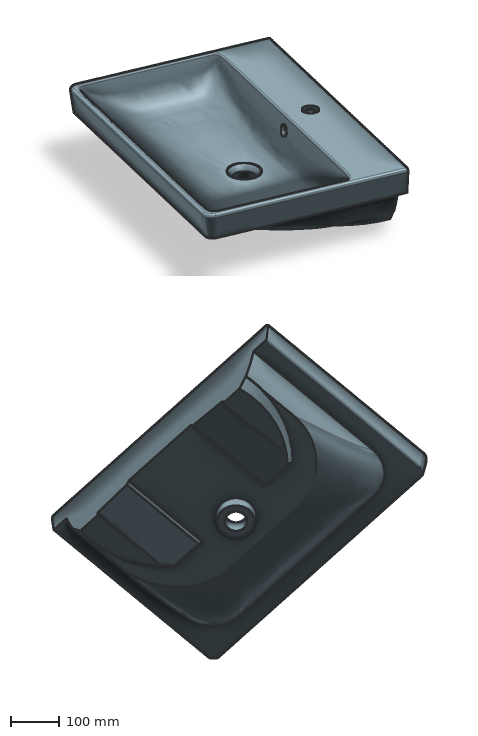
import cadquery as cq
import math


width = 650.0
depth = 470.0
rim_height = 60.0
rim_corner = 22.0
rim_edge = 8.0
rim_round = 7.0
side_draft = 5.0
front_draft = 8.0
rim_bottom_corner = 16.0
underside_round = 2.5

bowl_lip_round = 4.0
bowl_depth = 108.5
bowl_sections = [
    (0.0, 310.0, -123.5, -455.5, 30.0),
    (-32.5, 296.0, -127.0, -431.5, 14.0),
    (-60.0, 273.0, -132.5, -400.5, 7.0),
    (-82.5, 234.0, -142.0, -357.5, 4.5),
    (-100.0, 149.5, -159.0, -302.0, 2.8),
    (-bowl_depth, 35.0, -184.0, -254.0, 2.0),
]
outline_points = 144

overlap = 6.5
body_bottom = -132.0
body_sections = [
    (-rim_height + overlap, 283.0, -429.5, 78.0),
    (-82.0, 275.5, -401.0, 97.5),
    (-102.0, 270.0, -372.0, 123.5),
    (-116.0, 265.0, -344.0, 143.0),
    (body_bottom, 257.5, -298.0, 162.5),
]

foot_bottom = -160.0
foot_front_bottom = -147.0
foot_length = 214.5
foot_front_width = 175.5
foot_bend = (236.5, -129.0)
foot_side_draft = 33.0
foot_heel_inner = 188.0
foot_step = -149.5
foot_toe = 93.5
foot_toe_bottom = -141.0
foot_toe_chamfer = 6.5
foot_overlap = 0.5

drain_y = -219.0
drain_rim_diameter = 73.5
drain_bore_diameter = 47.0
drain_cone_depth = 13.0
boss_top_diameter = 86.0
boss_bottom_diameter = 77.0
boss_bottom = -156.0
tap_y = -65.0
tap_diameter = 35.0
tap_depth = 11.0
overflow_diameter = 26.0
overflow_z = -34.5
overflow_end_y = -117.0
overflow_length = 26.0


def rounded_front_wire(z, half_width, front, corner):
    """Outline with a straight edge on the wall and two rounded front corners."""
    diagonal = corner * (1 - 0.5 ** 0.5)
    return (
        cq.Workplane("XY", origin=(0, 0, z))
        .moveTo(-half_width, 0)
        .lineTo(-half_width, front + corner)
        .threePointArc((-half_width + diagonal, front + diagonal), (-half_width + corner, front))
        .lineTo(half_width - corner, front)
        .threePointArc((half_width - diagonal, front + diagonal), (half_width, front + corner))
        .lineTo(half_width, 0)
        .close()
        .val()
    )


def superellipse_wire(z, half_width, back, front, squareness):
    """Smooth closed outline, an ellipse at squareness 2 and nearly a rectangle when large."""
    middle = (back + front) / 2
    half_depth = (back - front) / 2
    points = []
    for step in range(outline_points):
        angle = 2 * math.pi * step / outline_points
        across = math.sin(angle)
        along = -math.cos(angle)
        reach = (abs(across) ** squareness + abs(along) ** squareness) ** (-1 / squareness)
        points.append(cq.Vector(half_width * reach * across, middle + half_depth * reach * along, z))
    steps = [step / outline_points for step in range(outline_points + 1)]
    return cq.Wire.assembleEdges([cq.Edge.makeSpline(points, parameters=steps, periodic=True)])


def loft(wires, ruled=False):
    return cq.Workplane(cq.Solid.makeLoft(wires, ruled))


def cone(z_top, top_diameter, z_bottom, bottom_diameter):
    """Upright cone frustum on the drain axis."""
    return cq.Workplane(
        cq.Solid.makeCone(
            bottom_diameter / 2,
            top_diameter / 2,
            z_top - z_bottom,
            pnt=cq.Vector(0, drain_y, z_bottom),
        )
    )


def cylinder_down(y, z_top, diameter, z_bottom):
    """Upright cylinder on the centre plane."""
    return cq.Workplane("XY", origin=(0, y, z_bottom)).circle(diameter / 2).extrude(z_top - z_bottom)


def make_rim():
    """Drafted slab with a rounded top edge; its wall side stays sharp."""
    top_wire = rounded_front_wire(-rim_edge, width / 2, -depth, rim_corner)
    bottom_wire = rounded_front_wire(
        -rim_height, width / 2 - side_draft, front_draft - depth, rim_bottom_corner
    )
    skirt = loft([bottom_wire, top_wire], ruled=True)
    skirt = skirt.faces("<Z").edges("not >Y").fillet(underside_round)
    cap = cq.Workplane(top_wire).toPending().extrude(rim_edge)
    cap = cap.faces(">Z").edges("not >Y").fillet(rim_round)
    return skirt.union(cap)


def make_feet():
    """Pair of stepped drafted feet whose underside rises away from the wall."""
    foot_top = body_bottom + foot_overlap
    foot_height = foot_top - foot_bottom
    foot_half_width = body_sections[-1][1]
    plan = (
        cq.Workplane("XY", origin=(0, 0, foot_top))
        .moveTo(0, foot_height)
        .lineTo(foot_half_width, foot_height)
        .lineTo(foot_half_width, 0)
        .threePointArc(foot_bend, (foot_front_width, -foot_length))
        .lineTo(0, -foot_length)
        .close()
        .extrude(-foot_height, taper=foot_side_draft)
    )
    steps = (
        cq.Workplane("XZ")
        .moveTo(foot_toe, foot_top)
        .lineTo(width / 2, foot_top)
        .lineTo(width / 2, foot_bottom)
        .lineTo(foot_heel_inner, foot_bottom)
        .lineTo(foot_heel_inner, foot_step)
        .lineTo(foot_toe + foot_toe_chamfer, foot_toe_bottom)
        .lineTo(foot_toe, foot_toe_bottom + foot_toe_chamfer)
        .close()
        .extrude(foot_length)
    )
    wedge = (
        cq.Workplane("YZ")
        .lineTo(0, foot_bottom)
        .lineTo(-foot_length, foot_front_bottom)
        .lineTo(-foot_length, 0)
        .close()
        .extrude(width / 2)
    )
    right_foot = plan.intersect(steps).intersect(wedge)
    return right_foot.union(right_foot.mirror("YZ"))


def make_overflow():
    """Short level hole in the back wall of the bowl."""
    return (
        cq.Workplane("XZ", origin=(0, overflow_end_y, overflow_z))
        .circle(overflow_diameter / 2)
        .extrude(overflow_length)
    )


underbody = loft([rounded_front_wire(*section) for section in body_sections])
boss = cone(body_bottom + overlap, boss_top_diameter, boss_bottom, boss_bottom_diameter)
bowl = loft([superellipse_wire(*section) for section in bowl_sections])

cone_bottom = -bowl_depth - drain_cone_depth
drain_cone = cone(-bowl_depth, drain_rim_diameter, cone_bottom, drain_bore_diameter)
drain_bore = cylinder_down(drain_y, -bowl_depth, drain_bore_diameter, boss_bottom)
tap_hole = cylinder_down(tap_y, 0, tap_diameter, -tap_depth)

result = make_rim().union(underbody).union(make_feet()).union(boss)
result = result.cut(bowl)
bowl_lip = result.faces(">Z").val().innerWires()[0].Edges()
result = result.newObject(bowl_lip).fillet(bowl_lip_round)
result = result.cut(drain_cone).cut(drain_bore).cut(tap_hole).cut(make_overflow())